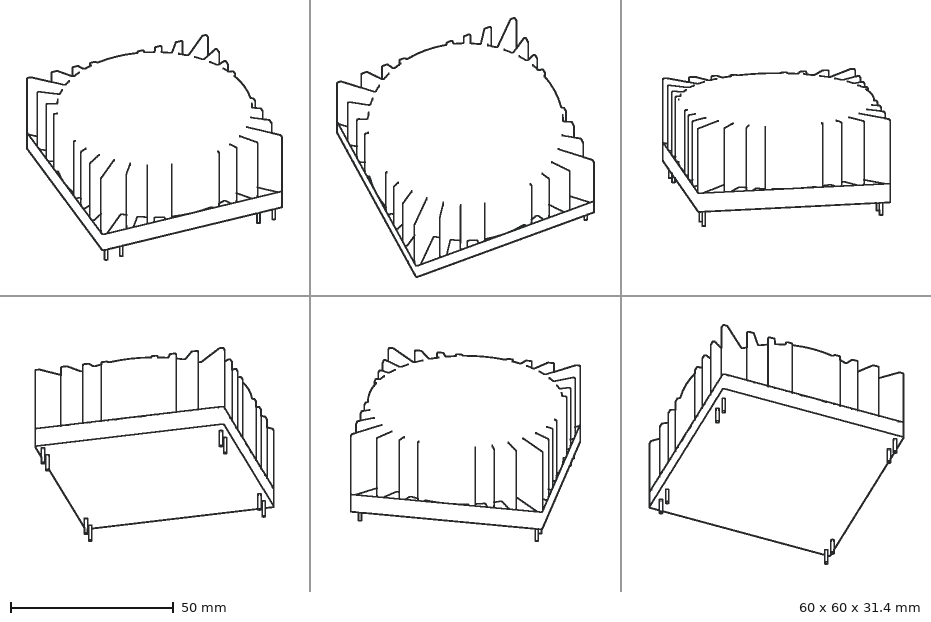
import cadquery as cq
import math

side = 60.0
base_height = 6.0
cover_height = 20.3
pin_length = 5.05

drum_radius = side / 2
fin_width = 2.1
fin_pitch = 10.0
fin_steps = (-3, -2, -1, 0, 1, 2, 3)
fin_group_angles = (45, 135, 225, 315)

edge_radius = 0.5

pin_diameter = 1.0
pin_pitch = 2.5
pin_row_x = 27.9
outer_pin_y = 27.9
pins_per_set = 4

base_bottom = pin_length
cover_bottom = base_bottom + base_height

tolerance = 0.005


def make_block(bottom, height):
    """Square block as wide as the part."""
    return cq.Workplane("XY").workplane(offset=bottom).rect(side, side).extrude(height)


def make_base():
    """Square slab with rounded upright corners."""
    return make_block(base_bottom, base_height).edges("|Z").fillet(edge_radius)


def make_fin(angle):
    """Upright wall running from the axis to beyond the square."""
    plane = cq.Workplane("XY").workplane(offset=cover_bottom)
    fin = plane.center(side / 2, 0).rect(side, fin_width).extrude(cover_height)
    return fin.rotate((0, 0, 0), (0, 0, 1), angle)


def is_tip(edge):
    """True on the outer edges of the fins, which lie beyond the drum."""
    point = edge.Center()
    return math.hypot(point.x, point.y) > drum_radius + tolerance


def is_root(edge):
    """True where a fin meets the drum, False on the drum's own lines along the X and Y axes."""
    point = edge.Center()
    on_drum = abs(math.hypot(point.x, point.y) - drum_radius) < tolerance
    on_axis = min(abs(point.x), abs(point.y)) < tolerance
    return on_drum and not on_axis


def round_upright_edges(body, is_chosen):
    """Fillet the upright edges that a test picks out."""
    chosen = [edge for edge in body.edges("|Z").vals() if is_chosen(edge)]
    return body.newObject(chosen).fillet(edge_radius)


def make_cover():
    """Drum with radial fins trimmed to the square, then rounded on its upright edges and top rim."""
    cover = cq.Workplane("XY").workplane(offset=cover_bottom).circle(drum_radius).extrude(cover_height)
    for group_angle in fin_group_angles:
        for step in fin_steps:
            cover = cover.union(make_fin(group_angle + step * fin_pitch))
    cover = cover.intersect(make_block(cover_bottom, cover_height))
    cover = round_upright_edges(cover, is_tip)
    cover = round_upright_edges(cover, is_root)
    return cover.faces(">Z").edges().fillet(edge_radius)


def make_pin(x, y):
    """Round pin standing below the base."""
    return cq.Workplane("XY").center(x, y).circle(pin_diameter / 2).extrude(pin_length)


def make_pins():
    """Two mirrored sets of pins, stepping inward and alternating between the two rows."""
    pins = []
    for y_sign in (1, -1):
        for index in range(pins_per_set):
            x_sign = 1 if index % 2 == 0 else -1
            y = y_sign * (outer_pin_y - index * pin_pitch)
            pins.append(make_pin(x_sign * pin_row_x, y).val())
    return pins


base = make_base()
cover = make_cover()
pins = make_pins()

result = cq.Compound.makeCompound([base.val(), cover.val(), *pins])